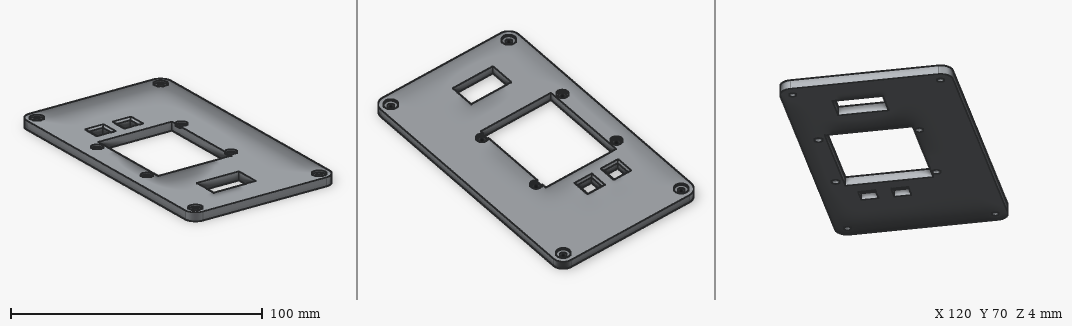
import cadquery as cq

plate_length = 120.0
plate_width = 70.0
plate_thickness = 4.0
corner_radius = 5.0

recess_depth = 1.0

corner_hole_diameter = 2.9
corner_bore_diameter = 6.0

window_length = 41.5
window_width = 35.6
window_center = (-0.2, -6.1)
screw_spacing_x = 34.5
screw_spacing_y = 40.8
screw_pattern_center = (0.0, -6.7)
screw_hole_diameter = 3.4
screw_bore_diameter = 5.0

slot_length = 11.8
slot_width = 20.4
slot_center = (41.0, -5.3)

button_length = 6.5
button_width = 7.0
button_flare = recess_depth
button_x = -30.2
button_center_y = -9.8
button_spacing = 13.3


def rectangular_cutout(length, width, center):
    return (
        cq.Workplane("XY")
        .center(*center)
        .rect(length, width)
        .extrude(plate_thickness)
    )


def counterbored_holes(body, spacing_x, spacing_y, center, diameter, bore_diameter, bore_depth):
    return (
        body.faces(">Z")
        .workplane(origin=(0, 0, plate_thickness))
        .center(*center)
        .rect(spacing_x, spacing_y, forConstruction=True)
        .vertices()
        .cboreHole(diameter, bore_diameter, bore_depth)
    )


def button_opening(center):
    flare = (
        cq.Workplane("XY", origin=(0, 0, plate_thickness - recess_depth))
        .center(*center)
        .rect(button_length, button_width)
        .workplane(offset=recess_depth)
        .rect(button_length + 2 * button_flare, button_width + 2 * button_flare)
        .loft(ruled=True)
    )
    return rectangular_cutout(button_length, button_width, center).union(flare)


plate = (
    cq.Workplane("XY")
    .rect(plate_length, plate_width)
    .extrude(plate_thickness)
    .edges("|Z")
    .fillet(corner_radius)
)

plate = counterbored_holes(
    plate,
    plate_length - 2 * corner_radius,
    plate_width - 2 * corner_radius,
    (0.0, 0.0),
    corner_hole_diameter,
    corner_bore_diameter,
    recess_depth,
)
plate = counterbored_holes(
    plate,
    screw_spacing_x,
    screw_spacing_y,
    screw_pattern_center,
    screw_hole_diameter,
    screw_bore_diameter,
    recess_depth,
)

plate = plate.cut(rectangular_cutout(window_length, window_width, window_center))
plate = plate.cut(rectangular_cutout(slot_length, slot_width, slot_center))

for side in (-1, 1):
    button_y = button_center_y + side * button_spacing / 2
    plate = plate.cut(button_opening((button_x, button_y)))

result = plate